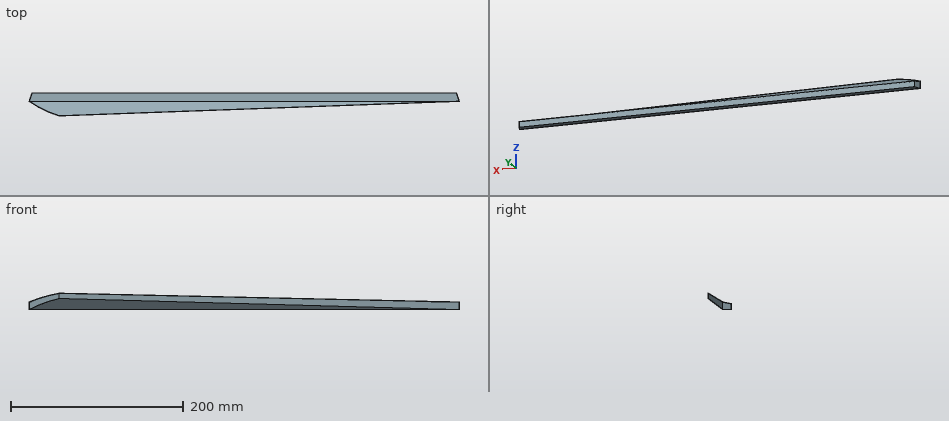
import cadquery as cq
import math

length = 499.88
width = 26.97
height = 19.16

lip_width = 10.0
lip_back_height = 6.9
bend_height = 8.9
wing_tip_thickness = 6.2

lip_end_angle = 19.0
tip_offset = 35.0
end_bulge = 1.5

wing_width = width - lip_width
lip_end_inset = lip_width * math.tan(math.radians(lip_end_angle))


def bent_bar():
    """Full-length bar with the bent cross-section; the bend is at Y = 0."""
    section = [
        (lip_width, 0),
        (lip_width, lip_back_height),
        (0, bend_height),
        (-wing_width, height),
        (-wing_width, height - wing_tip_thickness),
        (0, 0),
    ]
    return cq.Workplane("YZ").polyline(section).close().extrude(length)


def plan_prism():
    """Upright prism whose outline trims the lip ends and tapers the wing."""
    chord = math.hypot(tip_offset, wing_width)
    arc_middle = (
        tip_offset / 2 - end_bulge * wing_width / chord,
        -wing_width / 2 - end_bulge * tip_offset / chord,
    )
    return (
        cq.Workplane("XY")
        .moveTo(length - lip_end_inset, lip_width)
        .lineTo(lip_end_inset, lip_width)
        .lineTo(0, 0)
        .threePointArc(arc_middle, (tip_offset, -wing_width))
        .lineTo(length, 0)
        .close()
        .extrude(height)
    )


result = bent_bar().intersect(plan_prism())